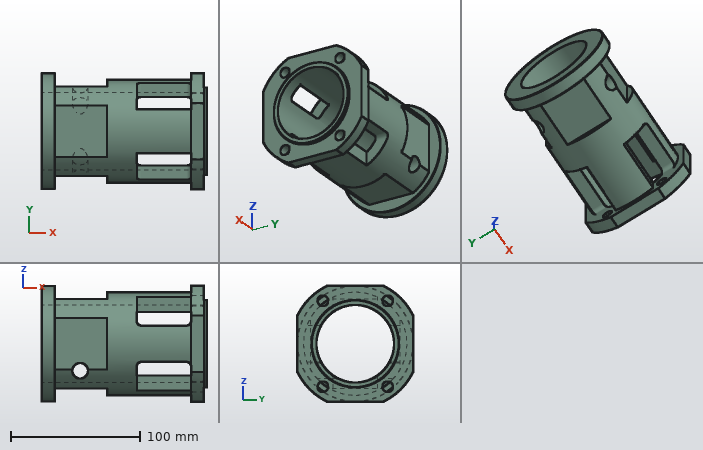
import cadquery as cq
import math

total_length = 128.5
collar_length = 10.5
flats_end = 51.0
window_start = 74.0
flange_start = 116.0
flange_end = 126.0

bore_diameter = 60.0
spigot_diameter = 68.0
body_diameter = 80.0
collar_diameter = 90.0
flange_diameter = 100.0

flange_across_flats = 90.0
neck_across_flats = 69.4

window_inner_y = 17.2
window_inner_z = 14.1
window_corner_radius = 3.5

cross_hole_diameter = 12.0
cross_hole_x = 30.1
cross_hole_z = -21.0
bolt_hole_diameter = 8.2
bolt_circle_diameter = 83.3
bolt_hole_angle = 53.0

collar_chamfer = 0.4
spigot_chamfer = 0.4


def cylinder_along_x(diameter, start, end):
    """Solid cylinder on the main axis between two X stations."""
    return cq.Workplane("YZ", origin=(start, 0, 0)).circle(diameter / 2).extrude(end - start)


def square_bar(start, end, side):
    """Square bar centred on the main axis between two X stations."""
    return cq.Workplane("YZ", origin=(start, 0, 0)).rect(side, side).extrude(end - start)


def make_body():
    """Tube body whose neck carries four flats next to the collar."""
    neck = cylinder_along_x(body_diameter, 0, flats_end)
    neck = neck.intersect(square_bar(0, flats_end, neck_across_flats))
    return neck.union(cylinder_along_x(body_diameter, flats_end, flange_start))


def make_flange():
    """Round flange trimmed to four flats."""
    disc = cylinder_along_x(flange_diameter, flange_start, flange_end)
    return disc.intersect(square_bar(flange_start, flange_end, flange_across_flats))


def make_window(y_sign, z_sign):
    """Cutter for one window, with its two inner corners rounded along Y."""
    reach = body_diameter / 2
    length = flange_start - window_start
    depth_y = reach - window_inner_y
    depth_z = reach - window_inner_z
    block = cq.Workplane("XY").box(length, depth_y, depth_z)
    inner_face = "<Z" if z_sign > 0 else ">Z"
    block = block.faces(inner_face).edges("|Y").fillet(window_corner_radius)
    return block.translate((
        window_start + length / 2,
        y_sign * (window_inner_y + depth_y / 2),
        z_sign * (window_inner_z + depth_z / 2),
    ))


def make_bolt_holes():
    """Four holes through the flange, mirrored about both flat directions."""
    angle = math.radians(bolt_hole_angle)
    spacing_y = bolt_circle_diameter * math.cos(angle)
    spacing_z = bolt_circle_diameter * math.sin(angle)
    return (
        cq.Workplane("YZ", origin=(flange_start, 0, 0))
        .rarray(spacing_y, spacing_z, 2, 2)
        .circle(bolt_hole_diameter / 2)
        .extrude(flange_end - flange_start)
    )


def make_cross_hole():
    """Hole along Y through both walls of the neck, below the axis."""
    return (
        cq.Workplane("XZ", origin=(cross_hole_x, 0, cross_hole_z))
        .circle(cross_hole_diameter / 2)
        .extrude(body_diameter / 2, both=True)
    )


collar = cylinder_along_x(collar_diameter, 0, collar_length).edges().chamfer(collar_chamfer)
spigot = cylinder_along_x(spigot_diameter, flange_start, total_length)
spigot = spigot.faces(">X").edges().chamfer(spigot_chamfer)

result = make_body().union(collar).union(make_flange()).union(spigot)
result = result.cut(cylinder_along_x(bore_diameter, 0, total_length))
for y_sign in (-1, 1):
    for z_sign in (-1, 1):
        result = result.cut(make_window(y_sign, z_sign))
result = result.cut(make_bolt_holes()).cut(make_cross_hole())